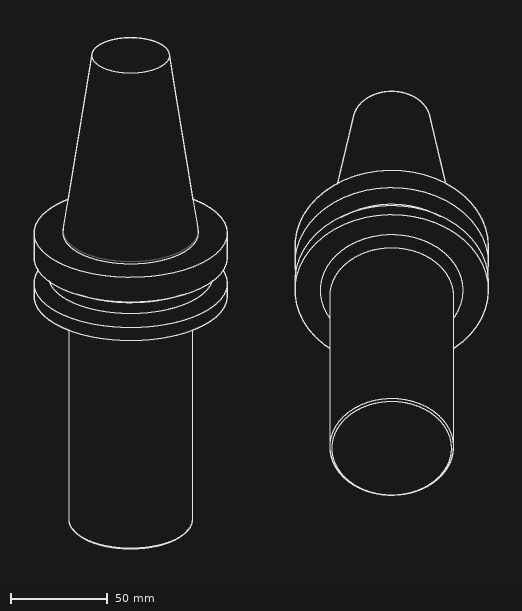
import cadquery as cq
import math

total_length = 270.8
flange_diameter = 100.0
body_diameter = 64.0

gauge_diameter = 70.0
taper_length = 101.8
taper_ratio = 7 / 24
gauge_land = 1.4

upper_rim_height = 14.4
lower_rim_height = 7.5
groove_diameter = 85.0
groove_floor_height = 6.2
groove_wall_angle = math.radians(30)

collar_height = 5.0
end_chamfer = 1.0

flange_radius = flange_diameter / 2
body_radius = body_diameter / 2
gauge_radius = gauge_diameter / 2
groove_radius = groove_diameter / 2
tip_radius = gauge_radius - taper_length * taper_ratio / 2
collar_radius = body_radius + collar_height

gauge_z = total_length - taper_length
flange_top_z = gauge_z - gauge_land
groove_top_z = flange_top_z - upper_rim_height
groove_wall_height = (flange_radius - groove_radius) * math.tan(groove_wall_angle)
floor_top_z = groove_top_z - groove_wall_height
floor_bottom_z = floor_top_z - groove_floor_height
groove_bottom_z = floor_bottom_z - groove_wall_height
flange_bottom_z = groove_bottom_z - lower_rim_height
collar_bottom_z = flange_bottom_z - collar_height

half_section = [
    (0, 0),
    (body_radius - end_chamfer, 0),
    (body_radius, end_chamfer),
    (body_radius, collar_bottom_z),
    (collar_radius, flange_bottom_z),
    (flange_radius, flange_bottom_z),
    (flange_radius, groove_bottom_z),
    (groove_radius, floor_bottom_z),
    (groove_radius, floor_top_z),
    (flange_radius, groove_top_z),
    (flange_radius, flange_top_z),
    (gauge_radius, flange_top_z),
    (gauge_radius, gauge_z),
    (tip_radius, total_length),
    (0, total_length),
]

result = cq.Workplane("XZ").polyline(half_section).close().revolve(360, (0, 0), (0, 1))